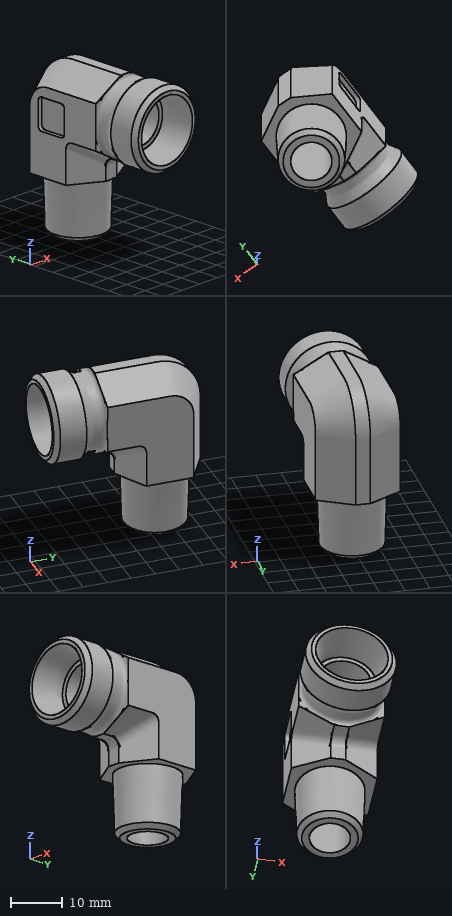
import cadquery as cq
import math


across_flats = 17.0
hexagon_slope = 30
ridge_width = 2.95
front_arm = 13.0
lower_arm = 14.0
inner_fillet = 2.0

stud_end = 27.0
stud_diameter = 13.65
stud_collar = 1.0
stud_taper = 1 / 16
stud_chamfer = 1.0

port_end = 23.98
port_diameter = 18.0
port_chamfer = 1.0
port_rim_length = 6.48
shoulder_angle = 30
groove_diameter = 15.7
groove_fillet = 1.0

mouth_diameter = 14.3
socket_diameter = 12.0
socket_depth = 7.0
mouth_half_angle = 12
port_bore_diameter = 10.0
port_bore_reach = 0.0
stud_bore_diameter = 8.0
stud_bore_reach = 2.52
drill_half_angle = 59

panel_size = 7.1
panel_center = -0.97
panel_corner = 1.0
panel_depth = 1.0


def slope(degrees):
    return math.tan(math.radians(degrees))


half_width = across_flats / 2
side_corner = half_width * slope(hexagon_slope)
groove_radius = groove_diameter / 2
ridge_half_width = ridge_width / 2
ridge_height = 2 * side_corner - ridge_half_width * slope(hexagon_slope)

upper_hexagon = [
    (half_width, 0),
    (half_width, side_corner),
    (ridge_half_width, ridge_height),
    (-ridge_half_width, ridge_height),
    (-half_width, side_corner),
    (-half_width, 0),
]
lower_hexagon = [(-x, -h) for x, h in upper_hexagon[1:-1]]
hexagon = upper_hexagon[1:-1] + lower_hexagon


def spin(outline):
    """Close an outline and turn it once around the vertical axis of its own workplane."""
    return outline.close().revolve(360, (0, 0, 0), (0, 1, 0))


def hexagon_along_port(length):
    return cq.Workplane("XZ").polyline(hexagon).close().extrude(length)


def elbow_body():
    lower = cq.Workplane("XY").polyline(hexagon).close().extrude(-lower_arm)
    bend = cq.Workplane("XZ").polyline(upper_hexagon).close().revolve(90, (0, 0, 0), (-1, 0, 0))
    body = hexagon_along_port(front_arm).union(lower).union(bend).clean()
    margin = 0.35
    inside_corner = cq.selectors.BoxSelector(
        (-half_width, -ridge_height - margin, -ridge_height - margin),
        (half_width, -side_corner - margin, -side_corner - margin),
    )
    return body.edges(inside_corner).fillet(inner_fillet)


def stud():
    top_radius = stud_diameter / 2
    taper_start = lower_arm + stud_collar
    taper_end = stud_end - stud_chamfer
    end_radius = top_radius - (taper_end - taper_start) * stud_taper / 2
    profile = [
        (0, 0),
        (top_radius, 0),
        (top_radius, -taper_start),
        (end_radius, -taper_end),
        (end_radius - stud_chamfer, -stud_end),
        (0, -stud_end),
    ]
    return spin(cq.Workplane("XZ").polyline(profile))


def port():
    radius = port_diameter / 2
    rim_start = port_end - port_rim_length
    cone_start = rim_start - (radius - groove_radius) / slope(shoulder_angle)
    blend_length = groove_fillet * slope(shoulder_angle / 2)
    blend_angle = math.radians(shoulder_angle)
    half_blend = blend_angle / 2
    blend_start = cone_start - blend_length
    blend_middle = (
        groove_radius + groove_fillet * (1 - math.cos(half_blend)),
        -blend_start - groove_fillet * math.sin(half_blend),
    )
    blend_end = (
        groove_radius + groove_fillet * (1 - math.cos(blend_angle)),
        -blend_start - groove_fillet * math.sin(blend_angle),
    )
    outside = spin(
        cq.Workplane("XY")
        .lineTo(groove_radius, 0)
        .lineTo(groove_radius, -blend_start)
        .threePointArc(blend_middle, blend_end)
        .lineTo(radius, -rim_start)
        .lineTo(radius, -port_end + port_chamfer)
        .lineTo(radius - port_chamfer, -port_end)
        .lineTo(0, -port_end)
    )
    return outside.union(groove_root())


def groove_root():
    """Concave fillet between groove and body, trimmed to the hexagon."""
    root_end = front_arm + groove_fillet
    arc_inset = groove_fillet * (1 - math.cos(math.pi / 4))
    ring = spin(
        cq.Workplane("XY")
        .moveTo(0, -front_arm)
        .lineTo(groove_radius + groove_fillet, -front_arm)
        .threePointArc(
            (groove_radius + arc_inset, -front_arm - arc_inset),
            (groove_radius, -root_end),
        )
        .lineTo(0, -root_end)
    )
    return ring.intersect(hexagon_along_port(root_end))


def port_bore():
    mouth_radius = mouth_diameter / 2
    socket_radius = socket_diameter / 2
    bore_radius = port_bore_diameter / 2
    mouth_depth = (mouth_radius - socket_radius) / slope(mouth_half_angle)
    profile = [
        (0, -port_end),
        (mouth_radius, -port_end),
        (socket_radius, -port_end + mouth_depth),
        (socket_radius, -port_end + socket_depth),
        (bore_radius, -port_end + socket_depth),
        (bore_radius, port_bore_reach),
        (0, port_bore_reach + bore_radius / slope(drill_half_angle)),
    ]
    return spin(cq.Workplane("XY").polyline(profile))


def stud_bore():
    radius = stud_bore_diameter / 2
    profile = [
        (0, -stud_end),
        (radius, -stud_end),
        (radius, stud_bore_reach),
        (0, stud_bore_reach + radius / slope(drill_half_angle)),
    ]
    return spin(cq.Workplane("YZ").polyline(profile))


def side_panel():
    return (
        cq.Workplane("YZ", origin=(-half_width, panel_center, panel_center))
        .rect(panel_size, panel_size)
        .extrude(panel_depth)
        .edges("|X")
        .fillet(panel_corner)
    )


result = elbow_body().union(stud()).union(port())
result = result.cut(port_bore()).cut(stud_bore()).cut(side_panel())